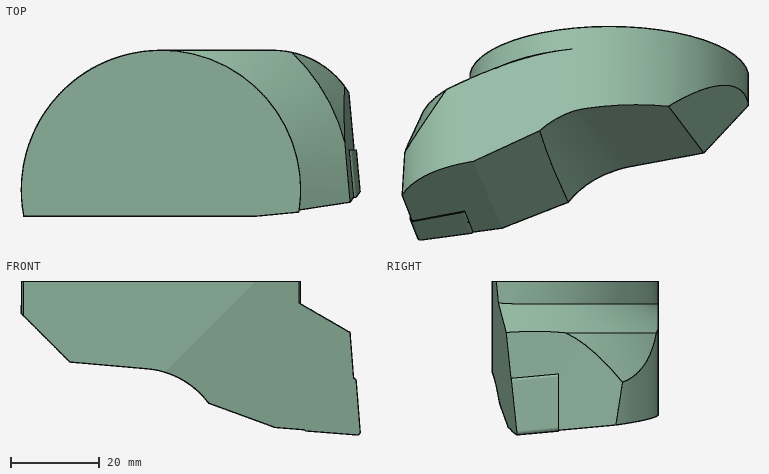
import cadquery as cq
import math

shank_radius = 31.5
front_y = -6.0
back_y = shank_radius
tip_x = 76.5 - shank_radius
tip_z = -34.7
deep_z = -45.9
reach = 61.2

bevel_start_z = -7.2
bevel_angle = 45.0
bevel_end_x = -20.5
slope_angle = 5.0
throat_start_x = -3.0
throat_radius = 19.1

heel_start_x = 6.1
heel_bend_x = 25.55
heel_bend_z = -32.75
heel_angle = 20.5
heel_drift = 0.08
draft = 0.092
head_corner_radius = 20.2
head_corner_x = 25.25

cone_start_z = -5.05
cone_angle = 30.0
cone_end_radius = 42.85
steep_angle = 67.0

rake_start_x = 21.4
rake_line_angle = 45.0
rake_angle = 7.8

insert_side = 13.0
insert_back_y = 9.0
insert_corner_radius = 0.8
corner_loss = 0.04
proud_end = 0.5
proud_bottom = 0.2


def tan(angle):
    return math.tan(math.radians(angle))


def sin(angle):
    return math.sin(math.radians(angle))


def cos(angle):
    return math.cos(math.radians(angle))


def drafted_prism(outline, shifts, start_y, end_y):
    """Ruled solid through an XZ outline at y = 0 whose points drift by (dx, dz) per unit of Y."""
    wires = []
    for y in (start_y, end_y):
        corners = [
            cq.Vector(x + dx * y, y, z + dz * y)
            for (x, z), (dx, dz) in zip(outline, shifts)
        ]
        wires.append(cq.Wire.makePolygon(corners, close=True))
    return cq.Workplane(cq.Solid.makeLoft(wires, True))


def plan_body():
    """Round shank joined to a head with one rounded back corner."""
    shank = cq.Workplane("XY").circle(shank_radius).extrude(deep_z)
    corner_center_y = back_y - head_corner_radius
    head = (
        cq.Workplane("XY")
        .moveTo(0, front_y)
        .lineTo(reach, front_y)
        .lineTo(reach, corner_center_y)
        .lineTo(head_corner_x + head_corner_radius, corner_center_y)
        .radiusArc((head_corner_x, back_y), -head_corner_radius)
        .lineTo(0, back_y)
        .close()
        .extrude(deep_z)
    )
    front_waste = cq.Workplane("XY").box(2 * reach, reach, 2 * reach)
    front_waste = front_waste.translate((0, front_y - reach / 2, 0))
    return shank.union(head).cut(front_waste)


def side_profile():
    """Prism along Y with the bevelled end, sloping underside and concave throat."""
    bevel_end_z = bevel_start_z - (bevel_end_x + shank_radius) * tan(bevel_angle)
    throat_start_z = bevel_end_z - (throat_start_x - bevel_end_x) * tan(slope_angle)
    mid_angle = (slope_angle + 90) / 2
    center_x = throat_start_x - throat_radius * sin(slope_angle)
    center_z = throat_start_z - throat_radius * cos(slope_angle)
    return (
        cq.Workplane("XZ", origin=(0, -reach, 0))
        .moveTo(-shank_radius, 0)
        .lineTo(-shank_radius, bevel_start_z)
        .lineTo(bevel_end_x, bevel_end_z)
        .lineTo(throat_start_x, throat_start_z)
        .threePointArc(
            (center_x + throat_radius * sin(mid_angle), center_z + throat_radius * cos(mid_angle)),
            (center_x + throat_radius, center_z),
        )
        .lineTo(center_x + throat_radius, deep_z)
        .lineTo(reach, deep_z)
        .lineTo(reach, 0)
        .close()
        .extrude(-2 * reach)
    )


def head_envelope():
    """Clearance faces under the head and at its end."""
    corner_x = tip_x - proud_end
    corner_z = tip_z + proud_bottom
    outline = [
        (-reach, 0),
        (-reach, deep_z),
        (heel_start_x, deep_z),
        (heel_start_x, heel_bend_z + (heel_bend_x - heel_start_x) * tan(heel_angle)),
        (heel_bend_x, heel_bend_z),
        (corner_x, corner_z),
        (corner_x + corner_z * tan(slope_angle), 0),
    ]
    fixed = (0, 0)
    heel = (-heel_drift, draft)
    shifts = [fixed, fixed, (-heel_drift, 0), heel, heel, (-draft, draft), (-draft, 0)]
    return drafted_prism(outline, shifts, front_y, back_y)


def shoulder_waste():
    """Space above the conical shoulder, continued straight in front of the shank axis."""
    slope = tan(cone_angle)
    cone_end_z = cone_start_z - (cone_end_radius - shank_radius) * slope
    outer_z = cone_end_z - (reach - cone_end_radius) * tan(steep_angle)
    inner_radius = shank_radius + front_y
    outline = [
        (inner_radius, 0),
        (inner_radius, cone_start_z + (shank_radius - inner_radius) * slope),
        (cone_end_radius, cone_end_z),
        (reach, outer_z),
        (reach, 0),
    ]
    straight = cq.Workplane("XZ").polyline(outline).close().extrude(-front_y)
    cone = cq.Workplane("XZ").polyline(outline).close().revolve(360, (0, 0, 0), (0, 1, 0))
    back_right = cq.Workplane("XY").box(reach, reach, 2 * reach, centered=(False, False, True))
    shank = cq.Workplane("XY").circle(shank_radius).extrude(deep_z)
    return cone.intersect(back_right).union(straight).cut(shank)


def rake_waste():
    """Wedge removed in front of the inclined face."""
    block = cq.Workplane("XY").box(2 * reach, reach, 4 * reach, centered=(False, True, True))
    block = block.translate((0, -reach / 2, 0))
    block = block.rotate((0, 0, 0), (0, 0, 1), rake_angle)
    return block.rotate((0, 0, 0), (0, 1, 0), rake_line_angle).translate((rake_start_x, front_y, 0))


def cutting_insert():
    """Rhombic insert with rounded corners, leaning away from its front edges."""
    corner = cq.Vector(tip_x + corner_loss, tip_z - corner_loss)
    along = cq.Vector(-cos(slope_angle), sin(slope_angle)) * insert_side
    up = cq.Vector(-sin(slope_angle), cos(slope_angle)) * insert_side
    corners = [corner, corner + along, corner + along + up, corner + up, corner]
    face = cq.Sketch().polygon([(p.x, p.y) for p in corners]).vertices().fillet(insert_corner_radius)
    sections = [
        face.moved(cq.Location(cq.Vector(-draft * y, draft * y, -y)))
        for y in (front_y, insert_back_y)
    ]
    return cq.Workplane("XZ").placeSketch(*sections).loft()


body = plan_body().intersect(side_profile()).intersect(head_envelope()).cut(shoulder_waste())
front_cut = rake_waste()
insert = cutting_insert().cut(front_cut)
result = body.cut(front_cut).cut(insert).union(insert, clean=False)